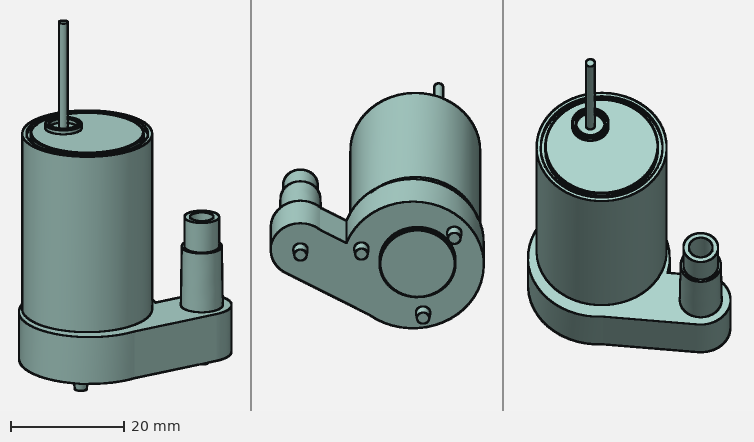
import cadquery as cq
import math

foot_height = 2.05
base_height = 8.85
base_top = foot_height + base_height
can_top = 44.1
cap_rise = 0.2
cap_top = can_top + cap_rise
collar_top = 45.15
shaft_top = 64.25
nozzle_step = 22.0
nozzle_top = 27.55

can_diameter = 23.0
groove_outer_diameter = 21.5
cap_diameter = 20.0
groove_depth = 0.65
cap_chamfer = 0.1
shaft_x = -4.8
shaft_diameter = 1.6
collar_diameter = 6.5
collar_bore = 5.0
collar_chamfer = 0.16

chamber_x = 1.1
chamber_y = -1.0
chamber_radius = 12.5
arm_x = 16.65
arm_y = 11.7
arm_radius = 5.3
arm_inner_offset = 5.15
arm_angle = 60.0
arm_length = 18.0

nozzle_bottom_diameter = 7.45
nozzle_step_diameter = 7.1
nozzle_tip_diameter = 6.2
nozzle_bore = 4.2

foot_top_diameter = 2.6
foot_bottom_diameter = 2.2
foot_circle_radius = 9.65
chamber_foot_count = 3
first_foot_angle = 50.0
disc_diameter = 13.5
disc_y = -0.8
disc_height = 1.0
disc_chamfer = 0.2


def cylinder(x, y, bottom, top, diameter):
    """Upright cylinder between two heights."""
    return cq.Workplane("XY", origin=(x, y, bottom)).circle(diameter / 2).extrude(top - bottom)


def cone(x, y, bottom, top, bottom_diameter, top_diameter):
    """Upright truncated cone between two heights."""
    return cq.Workplane("XY").add(
        cq.Solid.makeCone(
            bottom_diameter / 2, top_diameter / 2, top - bottom, pnt=cq.Vector(x, y, bottom)
        )
    )


def make_motor():
    """Motor can with a grooved end cap, a shaft collar and the shaft."""
    groove_floor = can_top - groove_depth
    can = cylinder(0, 0, base_top, can_top, can_diameter)
    groove = cylinder(0, 0, groove_floor, can_top, groove_outer_diameter)
    cap = cylinder(0, 0, groove_floor, cap_top, cap_diameter).faces(">Z").chamfer(cap_chamfer)
    collar = cylinder(shaft_x, 0, cap_top, collar_top, collar_diameter)
    collar = collar.cut(cylinder(shaft_x, 0, cap_top, collar_top, collar_bore))
    collar = collar.faces(">Z").edges().chamfer(collar_chamfer)
    shaft = cylinder(shaft_x, 0, cap_top, shaft_top, shaft_diameter)
    return can.cut(groove).union(cap).union(collar).union(shaft)


def make_base_plate():
    """Round chamber with a slanted, round-ended arm that runs into it.

    The inner side of the arm lies just inside the tangent of its round end.
    """
    inner_end = -math.sqrt(arm_radius**2 - arm_inner_offset**2)
    arm = (
        cq.Workplane("XY")
        .moveTo(-arm_length, -arm_radius)
        .lineTo(0, -arm_radius)
        .threePointArc((arm_radius, 0), (inner_end, arm_inner_offset))
        .lineTo(-arm_length, arm_inner_offset)
        .close()
        .extrude(base_height)
        .rotate((0, 0, 0), (0, 0, 1), arm_angle)
        .translate((arm_x, arm_y, foot_height))
    )
    chamber = cylinder(chamber_x, chamber_y, foot_height, base_top, 2 * chamber_radius)
    return chamber.union(arm)


def make_nozzle():
    """Tapered outlet with a narrower tip and a bore down to the base."""
    taper = cone(arm_x, arm_y, base_top, nozzle_step, nozzle_bottom_diameter, nozzle_step_diameter)
    tip = cylinder(arm_x, arm_y, nozzle_step, nozzle_top, nozzle_tip_diameter)
    return taper.union(tip).cut(cylinder(arm_x, arm_y, base_top, nozzle_top, nozzle_bore))


def foot_centres():
    """One foot under the nozzle and the rest evenly spaced around the chamber."""
    centres = [(arm_x, arm_y)]
    for index in range(chamber_foot_count):
        angle = math.radians(first_foot_angle + index * 360 / chamber_foot_count)
        x = chamber_x + foot_circle_radius * math.cos(angle)
        y = chamber_y + foot_circle_radius * math.sin(angle)
        centres.append((x, y))
    return centres


def make_pump_base():
    """Base plate with its outlet nozzle, underside disc and feet."""
    disc = cylinder(0, disc_y, foot_height - disc_height, foot_height, disc_diameter)
    disc = disc.faces("<Z").chamfer(disc_chamfer)
    base = make_base_plate().union(make_nozzle()).union(disc)
    for x, y in foot_centres():
        base = base.union(cone(x, y, 0, foot_height, foot_bottom_diameter, foot_top_diameter))
    return base


motor = make_motor()
pump_base = make_pump_base()

result = cq.Compound.makeCompound([motor.solids().val(), pump_base.solids().val()])